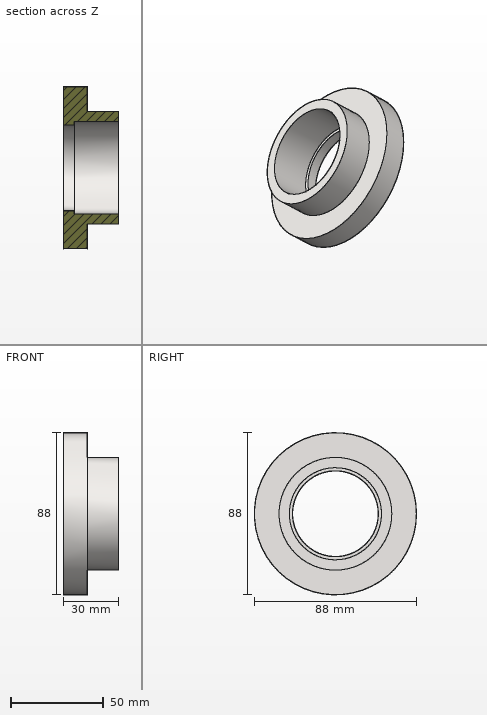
import cadquery as cq

flange_diameter = 88.0
flange_thickness = 13.0
hub_diameter = 61.2
overall_length = 30.0
bore_diameter = 46.4
lip_thickness = 6.0
counterbore_diameter = 50.0


def cylinder_along_x(diameter, start, end):
    """Solid cylinder on the X axis between two X positions."""
    return cq.Workplane("YZ").workplane(offset=start).circle(diameter / 2).extrude(end - start)


flange = cylinder_along_x(flange_diameter, 0, flange_thickness)
hub = cylinder_along_x(hub_diameter, flange_thickness, overall_length)

bore = cylinder_along_x(bore_diameter, 0, overall_length)
counterbore = cylinder_along_x(counterbore_diameter, lip_thickness, overall_length)

result = flange.union(hub).cut(bore).cut(counterbore)